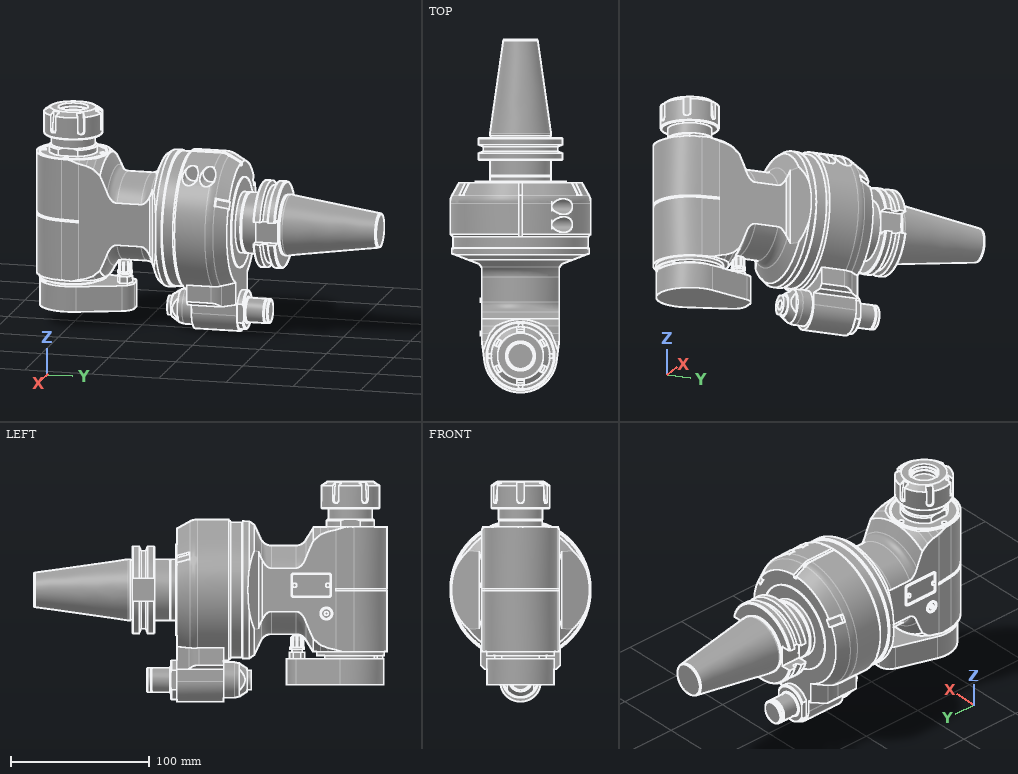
import cadquery as cq
import math


TIP_Y = 229.0
TAPER_TIP_R = 12.65
TAPER_R = 22.2
TAPER_END_Y = 161.0
TIP_CHAMFER = 1.0
FLANGE_REAR_Y = 158.0
FLANGE_UNDERCUT_Y = 159.3
FLANGE_FRONT_Y = 141.6
FLANGE_R = 31.7
FLANGE_CHAMFER = 0.8
GRIP_ROOT_R = 28.5
GRIP_WIDTH = 6.1
GRIP_ROOT_WIDTH = 3.3
KEYWAY_WIDTH = 17.0
KEYWAY_FLOOR_X = 22.5
NECK_GROOVE_Y = 131.0
NECK_GROOVE_WIDTH = 1.0
NECK_GROOVE_DEPTH = 0.5
COLLAR_R = 33.0
COLLAR_THICKNESS = 0.8

RING_REAR_Y = 125.5
RING_FRONT_Y = 86.5
RING_R = 51.0
RING_REAR_R = 44.5
CONE_END_Y = 116.3
CONE_END_R = 49.5
RING_BLEND_Y = 110.7
RING_BLEND_SAG = 0.3
RING_FRONT_CHAMFER = 1.8
KEY_SLOT_WIDTH = 2.5
KEY_SLOT_DEPTH = 2.0
CONE_SLOT_WIDTH = 6.0
CONE_SLOT_DEPTH = 3.0
CONE_SLOT_ANGLE = 60
SIDE_HOLE_D = 11.2
SIDE_HOLE_Z = 40.1
SIDE_HOLE_END_X = 22.5
SIDE_HOLE_YS = (95.0, 108.1)

PIN_Z = -65.2
BRACKET_FRONT_Y = 91.8
BRACKET_HALF_X = 29.0
BRACKET_BOTTOM_Z = -57.5
BRACKET_TOP_Z = -30.7
BRACKET_BOTTOM_CHAMFER = 3.0
BRACKET_REAR_CHAMFER = 11.5
BRACKET_CORNER_R = 10.2
SLEEVE_R = 14.8
SLEEVE_Z = -66.2
PIN_R = 9.0
PIN_REAR_Y = 147.3
PIN_EDGE = 0.8
PIN_GROOVE_Y = 143.7
PIN_COLLAR_Y = 130.0
PIN_COLLAR_R = 14.3
PIN_COLLAR_FLAT_X = 12.5
NOSE_R = 13.0
NOSE_BLEND_Y = 84.0
NOSE_CONE_Y = 80.5
NOSE_CONE_R = 12.3
NOSE_END_Y = 74.6
NOSE_END_R = 8.5
NOSE_FLAT = 9.5
PIN_TIP_Y = 71.5
PIN_TIP_R = 7.2
PIN_SOCKET_D = 7.0
PIN_SOCKET_DEPTH = 3.0

BELL_R = 49.0
RIM_R = 49.9
RIM_REAR_Y = 78.0
RIM_GROOVE_WIDTH = 0.5
RIM_FRONT_Y = 73.4
BELL_EDGE_Y = 69.5
BELL_EDGE_R = 47.3
NECK_R = 32.2
NECK_REAR_Y = 57.3
NECK_FRONT_Y = 39.4
NECK_BLEND_R = 8.2
NECK_BLEND_ANGLE = 62
SHOULDER_PROFILE = ((45.3, 26.8), (48.8, 21.7), (50.5, 16.4), (51.6, 10.7))
HEAD_MAX_R = 53.7
HEAD_HALF_X = 28.0
HEAD_FRONT_R = 26.5
HEAD_TAPER_Y = 10.7
HEAD_TANGENT_Y = -2.3
HEAD_TANGENT_X = math.sqrt(HEAD_FRONT_R**2 - HEAD_TANGENT_Y**2)
HEAD_TOP_Z = 45.5
HEAD_BOTTOM_Z = -44.7
SIDE_FLAT_Y = 66.5
SIDE_FLAT_X = 30.0
SIDE_FLAT_SLOPE = 0.385
SIDE_FLAT_END_Y = 64.0
SEAM_WIDTH = 1.3
SEAM_DEPTH = 0.3
COVER_GROOVE_R = 24.8
COVER_GROOVE_WIDTH = 0.8
COVER_GROOVE_DEPTH = 0.8
COVER_SCREW_D = 3.5
COVER_SCREW_CIRCLE_R = 22.0
COVER_SCREW_DEPTH = 2.5
LOWER_COVER_R = 24.5
LOWER_COVER_Z = -47.5
LOWER_HUB_R = 18.7
PLATE_Y = 28.5
PLATE_Z = 3.3
PLATE_LENGTH = 29.1
PLATE_HEIGHT = 17.6
PLATE_CORNER_R = 2.0
PLATE_GROOVE = 0.8
RIVET_D = 3.0
RIVET_HEIGHT = 1.0
RIVET_SPACING = 24.0
PLUG_Y = 17.5
PLUG_Z = -17.1
PLUG_D = 9.0
PLUG_GROOVE = 0.8
PLUG_SOCKET_D = 3.0
PLUG_SOCKET_DEPTH = 2.0

SPINDLE_R = 15.98
SPINDLE_BASE_R = 17.5
SPINDLE_BASE_TOP_Z = 51.1
SPINDLE_BASE_CHAMFER = 1.0
SPINDLE_FLAT_X = 15.9
NUT_R = 21.2
NUT_BOTTOM_Z = 58.8
NUT_HEIGHT = 19.7
NUT_TOP_Z = NUT_BOTTOM_Z + NUT_HEIGHT
NUT_TOP_R = 16.5
NUT_TOP_BEVEL = 3.0
NUT_BOTTOM_CHAMFER = 0.8
NUT_SLOTS = 6
NUT_SLOT_WIDTH = 5.0
NUT_SLOT_TOP_R = 17.5
NUT_SLOT_SLOPE = 7
NUT_SLOT_BOTTOM_Z = 62.5
COLLET_STEPS = ((10.7, 2.5), (10.0, 4.5), (9.2, 7.7))

ARM_TOP_Z = -49.9
ARM_BOTTOM_Z = -68.8
ARM_R = 24.3
ARM_CORNER_R = 10.0
ARM_CORNER_X = 3.0
ARM_END_Y = 46.3
RIM_LUG_HALF_ANGLE = 35
RIM_LUG_R = 23.5
RIM_LUG_WIDTH = 2.5
NOZZLE_Y = 38.5
NOZZLE_HEX_CORNERS = 11.2
NOZZLE_HEX_TOP_Z = -45.0
NOZZLE_NECK_R = 3.8
NOZZLE_COLLAR_R = 5.0
NOZZLE_COLLAR_Z = -43.0
NOZZLE_COLLAR_TOP_Z = -41.5
NOZZLE_HEAD_R = 4.73
NOZZLE_TOP_Z = -33.0
NOZZLE_DOME = 3.0
NOZZLE_FLUTES = 8
NOZZLE_FLUTE_D = 1.3


def turned(points):
    """Solid of revolution about the machine axis from (radius, y) points."""
    return cq.Workplane("XY").polyline(points).close().revolve(360, (0, 0), (0, 1))


def block(x_range, y_range, z_range):
    """Axis-aligned box between the given limits."""
    size = [high - low for low, high in (x_range, y_range, z_range)]
    corner = (x_range[0], y_range[0], z_range[0])
    return cq.Workplane("XY").box(*size, centered=False).translate(corner)


def cylinder_z(radius, z_low, z_high, x=0, y=0):
    """Upright cylinder."""
    return cq.Workplane("XY").workplane(offset=z_low).center(x, y).circle(radius).extrude(z_high - z_low)


def ring_z(outer_r, width, z_low, z_high):
    """Upright tube around the cutter axis."""
    return cylinder_z(outer_r, z_low, z_high).cut(cylinder_z(outer_r - width, z_low, z_high))


def make_shank():
    grip_y = (FLANGE_REAR_Y + FLANGE_FRONT_Y) / 2
    groove_r = TAPER_R - NECK_GROOVE_DEPTH
    groove_front_y = NECK_GROOVE_Y - NECK_GROOVE_WIDTH
    collar_rear_y = RING_REAR_Y + COLLAR_THICKNESS
    shank = turned([
        (0, TIP_Y),
        (TAPER_TIP_R - TIP_CHAMFER / 2, TIP_Y),
        (TAPER_TIP_R, TIP_Y - TIP_CHAMFER),
        (TAPER_R, TAPER_END_Y),
        (TAPER_R, FLANGE_UNDERCUT_Y),
        (groove_r, FLANGE_UNDERCUT_Y),
        (groove_r, FLANGE_REAR_Y),
        (FLANGE_R - FLANGE_CHAMFER, FLANGE_REAR_Y),
        (FLANGE_R, FLANGE_REAR_Y - FLANGE_CHAMFER),
        (FLANGE_R, grip_y + GRIP_WIDTH / 2),
        (GRIP_ROOT_R, grip_y + GRIP_ROOT_WIDTH / 2),
        (GRIP_ROOT_R, grip_y - GRIP_ROOT_WIDTH / 2),
        (FLANGE_R, grip_y - GRIP_WIDTH / 2),
        (FLANGE_R, FLANGE_FRONT_Y + FLANGE_CHAMFER),
        (FLANGE_R - FLANGE_CHAMFER, FLANGE_FRONT_Y),
        (TAPER_R, FLANGE_FRONT_Y),
        (TAPER_R, NECK_GROOVE_Y),
        (groove_r, NECK_GROOVE_Y),
        (groove_r, groove_front_y),
        (TAPER_R, groove_front_y),
        (TAPER_R, collar_rear_y),
        (COLLAR_R, collar_rear_y),
        (COLLAR_R, RING_REAR_Y),
        (0, RING_REAR_Y),
    ])
    half = KEYWAY_WIDTH / 2
    keyway = block((KEYWAY_FLOOR_X, FLANGE_R + 2.5), (FLANGE_FRONT_Y, FLANGE_REAR_Y), (-half, half))
    return shank.cut(keyway).cut(keyway.mirror("YZ"))


def ring_blank():
    front_r = RING_R - RING_FRONT_CHAMFER
    blend_mid = (RING_R - RING_BLEND_SAG, (CONE_END_Y + RING_BLEND_Y) / 2)
    return (
        cq.Workplane("XY")
        .moveTo(0, RING_REAR_Y)
        .lineTo(RING_REAR_R, RING_REAR_Y)
        .lineTo(CONE_END_R, CONE_END_Y)
        .threePointArc(blend_mid, (RING_R, RING_BLEND_Y))
        .lineTo(RING_R, RING_FRONT_Y + RING_FRONT_CHAMFER)
        .lineTo(front_r, RING_FRONT_Y)
        .lineTo(0, RING_FRONT_Y)
        .close()
        .revolve(360, (0, 0), (0, 1))
    )


def bracket():
    chamfer_z = BRACKET_BOTTOM_Z + BRACKET_BOTTOM_CHAMFER
    foot_x = BRACKET_HALF_X - BRACKET_BOTTOM_CHAMFER
    depth = RING_REAR_Y - BRACKET_FRONT_Y
    section = [
        (-BRACKET_HALF_X, BRACKET_TOP_Z),
        (BRACKET_HALF_X, BRACKET_TOP_Z),
        (BRACKET_HALF_X, chamfer_z),
        (foot_x, BRACKET_BOTTOM_Z),
        (-foot_x, BRACKET_BOTTOM_Z),
        (-BRACKET_HALF_X, chamfer_z),
    ]
    rear_plane = cq.Workplane("XZ", origin=(0, RING_REAR_Y, 0))
    arm = rear_plane.polyline(section).close().extrude(depth)
    corner = (
        cq.Workplane("XY", origin=(0, 0, BRACKET_BOTTOM_Z))
        .polyline([
            (BRACKET_HALF_X, RING_REAR_Y),
            (BRACKET_HALF_X - BRACKET_REAR_CHAMFER, RING_REAR_Y),
            (BRACKET_HALF_X, RING_REAR_Y - BRACKET_REAR_CHAMFER),
        ])
        .close()
        .extrude(BRACKET_TOP_Z - BRACKET_BOTTOM_Z)
    )
    arm = arm.cut(corner).cut(corner.mirror("YZ"))
    shoulder_y = RING_REAR_Y - BRACKET_REAR_CHAMFER
    for x in (-BRACKET_HALF_X, BRACKET_HALF_X):
        shoulder = cq.selectors.NearestToPointSelector((x, shoulder_y, (BRACKET_TOP_Z + chamfer_z) / 2))
        arm = arm.edges(shoulder).fillet(BRACKET_CORNER_R)
    sleeve = rear_plane.center(0, SLEEVE_Z).circle(SLEEVE_R).extrude(depth)
    web = block((-SLEEVE_R, SLEEVE_R), (BRACKET_FRONT_Y, RING_REAR_Y), (SLEEVE_Z, BRACKET_BOTTOM_Z))
    return arm.union(sleeve).union(web)


def cone_slot(angle):
    """Radial slot across the rear cone, turned about the machine axis."""
    half = CONE_SLOT_WIDTH / 2
    slot = (
        cq.Workplane("YZ", origin=(-half, 0, 0))
        .polyline([
            (RING_REAR_Y, RING_REAR_R - CONE_SLOT_DEPTH),
            (RING_REAR_Y, RING_R),
            (CONE_END_Y, RING_R),
            (CONE_END_Y, CONE_END_R - CONE_SLOT_DEPTH),
        ])
        .close()
        .extrude(CONE_SLOT_WIDTH)
    )
    return slot.rotate((0, 0, 0), (0, 1, 0), angle)


def side_hole(y):
    """Blind cross hole entering from +X above the machine axis."""
    start = cq.Workplane("YZ", origin=(SIDE_HOLE_END_X, y, SIDE_HOLE_Z))
    return start.circle(SIDE_HOLE_D / 2).extrude(RING_R)


def make_stop_ring():
    ring = ring_blank().union(bracket())
    half = KEY_SLOT_WIDTH / 2
    ring = ring.cut(block((-half, half), (RING_FRONT_Y, CONE_END_Y), (RING_R - KEY_SLOT_DEPTH, RING_R + 2.5)))
    ring = ring.cut(block((-half, half), (CONE_END_Y, RING_REAR_Y), (RING_REAR_R - KEY_SLOT_DEPTH, RING_R)))
    for angle in (-CONE_SLOT_ANGLE, CONE_SLOT_ANGLE):
        ring = ring.cut(cone_slot(angle))
    for y in SIDE_HOLE_YS:
        ring = ring.cut(side_hole(y))
    bore = cq.Workplane("XZ", origin=(0, RING_REAR_Y, PIN_Z)).circle(PIN_R)
    return ring.cut(bore.extrude(RING_REAR_Y - BRACKET_FRONT_Y))


def make_locating_pin():
    pin = turned([
        (0, PIN_REAR_Y),
        (PIN_R - PIN_EDGE, PIN_REAR_Y),
        (PIN_R, PIN_REAR_Y - PIN_EDGE),
        (PIN_R, PIN_GROOVE_Y + PIN_EDGE),
        (PIN_R - PIN_EDGE, PIN_GROOVE_Y + PIN_EDGE),
        (PIN_R - PIN_EDGE, PIN_GROOVE_Y),
        (PIN_R, PIN_GROOVE_Y),
        (PIN_R, PIN_COLLAR_Y + PIN_EDGE),
        (PIN_R + PIN_EDGE, PIN_COLLAR_Y),
        (PIN_COLLAR_R - PIN_EDGE, PIN_COLLAR_Y),
        (PIN_COLLAR_R, PIN_COLLAR_Y - PIN_EDGE),
        (PIN_COLLAR_R, RING_REAR_Y),
        (PIN_R, RING_REAR_Y),
        (PIN_R, BRACKET_FRONT_Y),
        (NOSE_R, BRACKET_FRONT_Y),
        (NOSE_R, NOSE_BLEND_Y),
        (NOSE_CONE_R, NOSE_CONE_Y),
        (NOSE_END_R, NOSE_END_Y),
        (PIN_TIP_R, NOSE_END_Y),
        (PIN_TIP_R, PIN_TIP_Y),
        (0, PIN_TIP_Y),
    ])
    flat = block((NOSE_FLAT, NOSE_R), (NOSE_END_Y, NOSE_CONE_Y), (-NOSE_R, NOSE_R))
    pin = pin.cut(flat).cut(flat.mirror("YZ"))
    collar_flat = block((PIN_COLLAR_FLAT_X, PIN_COLLAR_R), (RING_REAR_Y, PIN_COLLAR_Y), (-PIN_R, PIN_R))
    pin = pin.cut(collar_flat).cut(collar_flat.mirror("YZ"))
    socket = cq.Workplane("XZ", origin=(0, PIN_TIP_Y, 0)).circle(PIN_SOCKET_D / 2).extrude(-PIN_SOCKET_DEPTH)
    return pin.cut(socket).translate((0, 0, PIN_Z))


def neck_blend(y, direction, fraction):
    """Point on the arc that leads from the neck out to a shoulder, as (radius, y)."""
    angle = math.radians(NECK_BLEND_ANGLE * fraction)
    radius = NECK_R + NECK_BLEND_R * (1 - math.cos(angle))
    return radius, y + direction * NECK_BLEND_R * math.sin(angle)


def housing_turned():
    """Bell, round neck and the flare into the head, all about the machine axis."""
    groove_y = RIM_REAR_Y + RIM_GROOVE_WIDTH
    groove_r = BELL_R - RIM_GROOVE_WIDTH
    outline = (
        cq.Workplane("XY")
        .moveTo(0, RING_FRONT_Y)
        .lineTo(BELL_R, RING_FRONT_Y)
        .lineTo(BELL_R, groove_y)
        .lineTo(groove_r, groove_y)
        .lineTo(groove_r, RIM_REAR_Y)
        .lineTo(RIM_R, RIM_REAR_Y)
        .lineTo(RIM_R, RIM_FRONT_Y)
        .lineTo(BELL_EDGE_R, BELL_EDGE_Y)
        .lineTo(*neck_blend(NECK_REAR_Y, 1, 1))
        .threePointArc(neck_blend(NECK_REAR_Y, 1, 0.5), (NECK_R, NECK_REAR_Y))
        .lineTo(NECK_R, NECK_FRONT_Y)
        .threePointArc(neck_blend(NECK_FRONT_Y, -1, 0.5), neck_blend(NECK_FRONT_Y, -1, 1))
    )
    for point in SHOULDER_PROFILE:
        outline = outline.lineTo(*point)
    return (
        outline
        .lineTo(HEAD_MAX_R, 0)
        .lineTo(HEAD_MAX_R, -HEAD_FRONT_R)
        .lineTo(0, -HEAD_FRONT_R)
        .close()
        .revolve(360, (0, 0), (0, 1))
    )


def housing_envelope():
    """Plan outline that trims the neck and head between flat sides and a round front."""
    wide_x = RIM_R
    wide_y = SIDE_FLAT_Y + SIDE_FLAT_SLOPE * (wide_x - SIDE_FLAT_X)
    plan = (
        cq.Workplane("XY", origin=(0, 0, -HEAD_MAX_R))
        .moveTo(-HEAD_TANGENT_X, HEAD_TANGENT_Y)
        .threePointArc((0, -HEAD_FRONT_R), (HEAD_TANGENT_X, HEAD_TANGENT_Y))
        .lineTo(HEAD_HALF_X, HEAD_TAPER_Y)
        .lineTo(HEAD_HALF_X, SIDE_FLAT_END_Y)
        .lineTo(SIDE_FLAT_X, SIDE_FLAT_Y)
        .lineTo(wide_x, wide_y)
        .lineTo(wide_x, RING_FRONT_Y)
        .lineTo(-wide_x, RING_FRONT_Y)
        .lineTo(-wide_x, wide_y)
        .lineTo(-SIDE_FLAT_X, SIDE_FLAT_Y)
        .lineTo(-HEAD_HALF_X, SIDE_FLAT_END_Y)
        .lineTo(-HEAD_HALF_X, HEAD_TAPER_Y)
        .close()
        .extrude(2 * HEAD_MAX_R)
    )
    span_x = (-HEAD_MAX_R, HEAD_MAX_R)
    span_y = (-HEAD_FRONT_R, NECK_FRONT_Y)
    above = block(span_x, span_y, (HEAD_TOP_Z, HEAD_MAX_R + 2.5))
    below = block(span_x, span_y, (-HEAD_MAX_R - 2.5, HEAD_BOTTOM_Z))
    return plan.cut(above).cut(below)


def seam_groove():
    """Shallow groove around the front of the head at mid height."""
    inner_x = HEAD_TANGENT_X - SEAM_DEPTH
    wide_x = HEAD_HALF_X - SEAM_DEPTH
    half = SEAM_WIDTH / 2
    core = (
        cq.Workplane("XY", origin=(0, 0, -half))
        .moveTo(-inner_x, HEAD_TANGENT_Y)
        .threePointArc((0, -HEAD_FRONT_R + SEAM_DEPTH), (inner_x, HEAD_TANGENT_Y))
        .lineTo(wide_x, HEAD_TAPER_Y)
        .lineTo(-wide_x, HEAD_TAPER_Y)
        .close()
        .extrude(SEAM_WIDTH)
    )
    slab = block((-HEAD_MAX_R, HEAD_MAX_R), (-HEAD_FRONT_R - 2.5, HEAD_TAPER_Y), (-half, half))
    return slab.cut(core)


def cover_details():
    """Ring groove and four screw holes in the top face of the head."""
    groove_floor = HEAD_TOP_Z - COVER_GROOVE_DEPTH
    cuts = ring_z(COVER_GROOVE_R, COVER_GROOVE_WIDTH, groove_floor, HEAD_TOP_Z)
    for turn in range(4):
        x = COVER_SCREW_CIRCLE_R * math.cos(math.pi / 2 * turn)
        y = COVER_SCREW_CIRCLE_R * math.sin(math.pi / 2 * turn)
        cuts = cuts.union(cylinder_z(COVER_SCREW_D / 2, HEAD_TOP_Z - COVER_SCREW_DEPTH, HEAD_TOP_Z, x, y))
    return cuts


def side_plane(y, z):
    """Sketch plane on the -X side of the head; extrusions go inwards, negative ones outwards."""
    return cq.Workplane("YZ", origin=(-HEAD_HALF_X, y, z))


def plate_groove():
    """Outline groove of the name plate."""
    outer = side_plane(PLATE_Y, PLATE_Z).rect(PLATE_LENGTH, PLATE_HEIGHT).extrude(PLATE_GROOVE)
    outer = outer.edges("|X").fillet(PLATE_CORNER_R)
    inner_length = PLATE_LENGTH - 2 * PLATE_GROOVE
    inner_height = PLATE_HEIGHT - 2 * PLATE_GROOVE
    inner = side_plane(PLATE_Y, PLATE_Z).rect(inner_length, inner_height).extrude(PLATE_GROOVE)
    inner = inner.edges("|X").fillet(PLATE_CORNER_R - PLATE_GROOVE)
    return outer.cut(inner)


def plug_recess():
    """Screw plug: a ring groove around it and a small socket."""
    outer_r = PLUG_D / 2
    groove = side_plane(PLUG_Y, PLUG_Z).circle(outer_r).circle(outer_r - PLUG_GROOVE).extrude(PLUG_GROOVE)
    socket = side_plane(PLUG_Y, PLUG_Z).polygon(6, PLUG_SOCKET_D).extrude(PLUG_SOCKET_DEPTH)
    return groove.union(socket)


def make_housing():
    housing = housing_turned().intersect(housing_envelope())
    housing = housing.cut(seam_groove()).cut(cover_details())
    housing = housing.cut(plate_groove()).cut(plug_recess())
    for offset in (-RIVET_SPACING / 2, RIVET_SPACING / 2):
        rivet = side_plane(PLATE_Y + offset, PLATE_Z).circle(RIVET_D / 2)
        housing = housing.union(rivet.extrude(-RIVET_HEIGHT))
    housing = housing.union(cylinder_z(LOWER_COVER_R, LOWER_COVER_Z, HEAD_BOTTOM_Z))
    return housing.union(cylinder_z(LOWER_HUB_R, ARM_TOP_Z, LOWER_COVER_Z))


def nut_slot(angle):
    """Spanner slot with a round lower end and a floor that rises outwards towards the bottom."""
    half = NUT_SLOT_WIDTH / 2
    end_z = NUT_SLOT_BOTTOM_Z + half
    top_z = NUT_TOP_Z + 2.5
    depth = 2 * (NUT_R - NUT_SLOT_TOP_R)
    slot = block((NUT_SLOT_TOP_R, NUT_SLOT_TOP_R + depth), (-half, half), (end_z, top_z))
    end = cq.Workplane("YZ", origin=(NUT_SLOT_TOP_R, 0, end_z)).circle(half).extrude(depth)
    pivot = (NUT_SLOT_TOP_R, 0, NUT_TOP_Z)
    slot = slot.union(end).rotate(pivot, (pivot[0], 1, pivot[2]), -NUT_SLOT_SLOPE)
    return slot.rotate((0, 0, 0), (0, 0, 1), angle)


def make_spindle_nose():
    base = cylinder_z(SPINDLE_BASE_R, HEAD_TOP_Z, SPINDLE_BASE_TOP_Z)
    base = base.faces(">Z").chamfer(SPINDLE_BASE_CHAMFER)
    base_box = block(
        (-SPINDLE_FLAT_X, SPINDLE_FLAT_X),
        (-SPINDLE_BASE_R, SPINDLE_BASE_R),
        (HEAD_TOP_Z, SPINDLE_BASE_TOP_Z),
    )
    nose = base.intersect(base_box).union(cylinder_z(SPINDLE_R, SPINDLE_BASE_TOP_Z, NUT_BOTTOM_Z))
    nut = (
        cq.Workplane("XZ")
        .polyline([
            (0, NUT_BOTTOM_Z),
            (NUT_R - NUT_BOTTOM_CHAMFER, NUT_BOTTOM_Z),
            (NUT_R, NUT_BOTTOM_Z + NUT_BOTTOM_CHAMFER),
            (NUT_R, NUT_TOP_Z - NUT_TOP_BEVEL),
            (NUT_TOP_R, NUT_TOP_Z),
            (0, NUT_TOP_Z),
        ])
        .close()
        .revolve(360, (0, 0), (0, 1))
    )
    for radius, depth in COLLET_STEPS:
        nut = nut.cut(cylinder_z(radius, NUT_TOP_Z - depth, NUT_TOP_Z))
    for index in range(NUT_SLOTS):
        nut = nut.cut(nut_slot(90 + index * 360 / NUT_SLOTS))
    return nose.union(nut)


def arm_plate():
    """Plate with a round front, straight converging sides and a flat end with round corners."""
    corner_y = ARM_END_Y - ARM_CORNER_R
    reach = math.hypot(ARM_CORNER_X, corner_y)
    angle = math.asin((ARM_R - ARM_CORNER_R) / reach) - math.atan2(ARM_CORNER_X, corner_y)
    mid_angle = (angle + math.pi / 2) / 2

    def on_corner(direction):
        x = ARM_CORNER_X + ARM_CORNER_R * math.cos(direction)
        y = corner_y + ARM_CORNER_R * math.sin(direction)
        return x, y

    half = (
        cq.Workplane("XY", origin=(0, 0, ARM_BOTTOM_Z))
        .moveTo(0, -ARM_R)
        .threePointArc((ARM_R, 0), (ARM_R * math.cos(angle), ARM_R * math.sin(angle)))
        .lineTo(*on_corner(angle))
        .threePointArc(on_corner(mid_angle), (ARM_CORNER_X, ARM_END_Y))
        .lineTo(0, ARM_END_Y)
    )
    return half.mirrorY().extrude(ARM_TOP_Z - ARM_BOTTOM_Z)


def rim_lug():
    """Short curved lug on the front rim of the arm, reaching up to the lower cover."""
    reach_x = 2 * ARM_R * math.tan(math.radians(RIM_LUG_HALF_ANGLE))
    sector = (
        cq.Workplane("XY", origin=(0, 0, ARM_TOP_Z))
        .polyline([(0, 0), (-reach_x, -2 * ARM_R), (reach_x, -2 * ARM_R)])
        .close()
        .extrude(LOWER_COVER_Z - ARM_TOP_Z)
    )
    return ring_z(RIM_LUG_R, RIM_LUG_WIDTH, ARM_TOP_Z, LOWER_COVER_Z).intersect(sector)


def nozzle():
    hex_height = NOZZLE_HEX_TOP_Z - ARM_TOP_Z
    body = cq.Workplane("XY", origin=(0, 0, ARM_TOP_Z)).polygon(6, NOZZLE_HEX_CORNERS).extrude(hex_height)
    body = body.rotate((0, 0, 0), (0, 0, 1), 30)
    body = body.union(cylinder_z(NOZZLE_NECK_R, NOZZLE_HEX_TOP_Z, NOZZLE_COLLAR_Z))
    body = body.union(cylinder_z(NOZZLE_COLLAR_R, NOZZLE_COLLAR_Z, NOZZLE_COLLAR_TOP_Z))
    head = cylinder_z(NOZZLE_HEAD_R, NOZZLE_COLLAR_TOP_Z, NOZZLE_TOP_Z)
    head = head.faces(">Z").edges().fillet(NOZZLE_DOME)
    for index in range(NOZZLE_FLUTES):
        angle = 2 * math.pi * index / NOZZLE_FLUTES
        x = NOZZLE_HEAD_R * math.cos(angle)
        y = NOZZLE_HEAD_R * math.sin(angle)
        head = head.cut(cylinder_z(NOZZLE_FLUTE_D / 2, NOZZLE_COLLAR_TOP_Z, NOZZLE_TOP_Z, x, y))
    return body.union(head).translate((0, NOZZLE_Y, 0))


def make_coolant_arm():
    return arm_plate().union(rim_lug()).union(nozzle())


shank = make_shank()
stop_ring = make_stop_ring()
locating_pin = make_locating_pin()
housing = make_housing()
spindle_nose = make_spindle_nose()
coolant_arm = make_coolant_arm()

result = cq.Compound.makeCompound([
    shank.val(),
    stop_ring.val(),
    locating_pin.val(),
    housing.val(),
    spindle_nose.val(),
    coolant_arm.val(),
])